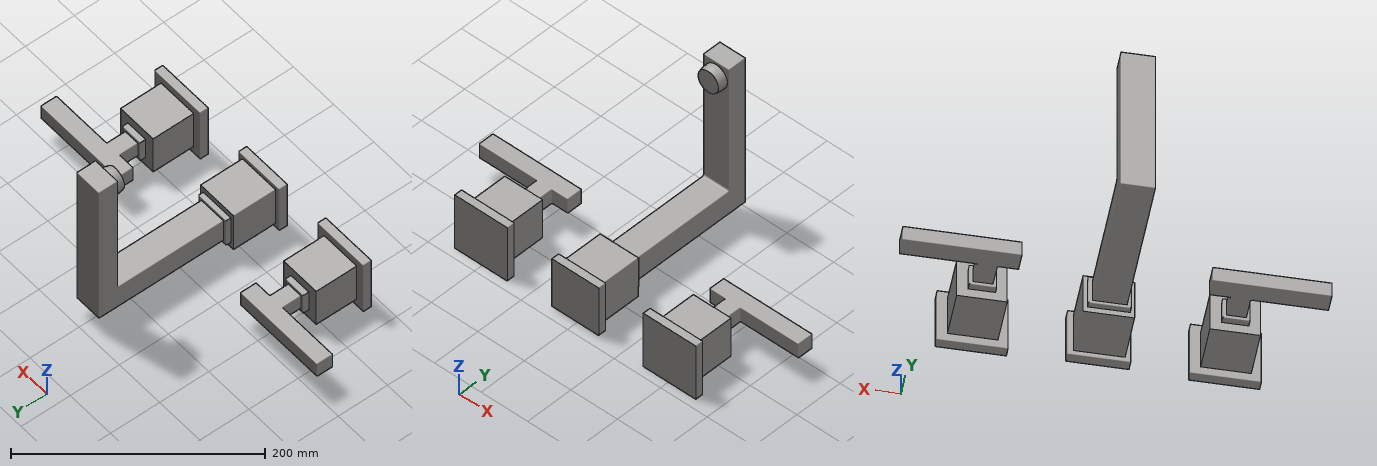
import cadquery as cq

EDGE_RADIUS = 0.7
ELBOW_RADIUS = 1.7

SPOUT_PLATE_SIDE = 50.8
SPOUT_PLATE_THICKNESS = 8.2
SPOUT_BLOCK_SIDE = 41.5
SPOUT_BLOCK_END_Y = 50.8
SPOUT_COLLAR_WIDTH = 34.5
SPOUT_COLLAR_HEIGHT = 30.2
SPOUT_COLLAR_END_Y = 55.5
ARM_WIDTH = 27.8
ARM_HEIGHT = 24.0
ARM_RISER_DEPTH = 19.2
ARM_END_Y = 182.5
ARM_TOP_Z = 142.0

AERATOR_DIAMETER = 24.0
AERATOR_TIP_DIAMETER = 22.0
AERATOR_AXIS_DROP = 15.0
AERATOR_LENGTH = 9.3
AERATOR_STRAIGHT_LENGTH = 4.0

HANDLE_OFFSET = 101.3
HANDLE_PLATE_SIDE = 57.0
HANDLE_PLATE_THICKNESS = 8.2
HANDLE_BLOCK_SIDE = 40.5
HANDLE_BLOCK_END_Y = 49.5
HANDLE_COLLAR_SIDE = 22.0
HANDLE_COLLAR_END_Y = 55.0
LEVER_WIDTH = 16.0
LEVER_HEIGHT = 15.5
LEVER_END_Y = 89.5
LEVER_TIP_X = 171.7
LEVER_HEEL_X = 76.2


def block(width, height, start_y, end_y):
    """Box centred on the Y axis, from start_y to end_y."""
    return (
        cq.Workplane("XY")
        .box(width, end_y - start_y, height, centered=(True, False, True))
        .translate((0, start_y, 0))
    )


def wall_plate(side, thickness):
    """Square plate with a sharp wall face and its other edges rounded."""
    return block(side, side, 0, thickness).edges("|Y or >Y").fillet(EDGE_RADIUS)


def collar(width, height, start_y, end_y):
    """Low rectangular step with a rounded outer rim."""
    return block(width, height, start_y, end_y).faces(">Y").edges().fillet(EDGE_RADIUS)


def make_arm():
    """L-shaped spout arm running out from the collar and then upwards."""
    bottom_z = -ARM_HEIGHT / 2
    outline = [
        (SPOUT_COLLAR_END_Y, bottom_z),
        (ARM_END_Y, bottom_z),
        (ARM_END_Y, ARM_TOP_Z),
        (ARM_END_Y - ARM_RISER_DEPTH, ARM_TOP_Z),
        (ARM_END_Y - ARM_RISER_DEPTH, -bottom_z),
        (SPOUT_COLLAR_END_Y, -bottom_z),
    ]
    arm = cq.Workplane("YZ").polyline(outline).close().extrude(ARM_WIDTH / 2, both=True)
    inner_corner = cq.selectors.NearestToPointSelector((0, ARM_END_Y - ARM_RISER_DEPTH, -bottom_z))
    arm = arm.edges(inner_corner).fillet(ELBOW_RADIUS)
    return arm.edges("not <Y").fillet(EDGE_RADIUS)


def make_aerator():
    """Round outlet, tapering towards its tip."""
    face_y = ARM_END_Y - ARM_RISER_DEPTH
    profile = [
        (0, face_y),
        (AERATOR_DIAMETER / 2, face_y),
        (AERATOR_DIAMETER / 2, face_y - AERATOR_STRAIGHT_LENGTH),
        (AERATOR_TIP_DIAMETER / 2, face_y - AERATOR_LENGTH),
        (0, face_y - AERATOR_LENGTH),
    ]
    aerator = cq.Workplane("XY").polyline(profile).close().revolve(360, (0, 0, 0), (0, 1, 0))
    return aerator.translate((0, 0, ARM_TOP_Z - AERATOR_AXIS_DROP))


def make_spout():
    spout_block = block(SPOUT_BLOCK_SIDE, SPOUT_BLOCK_SIDE, SPOUT_PLATE_THICKNESS, SPOUT_BLOCK_END_Y)
    spout_collar = collar(SPOUT_COLLAR_WIDTH, SPOUT_COLLAR_HEIGHT, SPOUT_BLOCK_END_Y, SPOUT_COLLAR_END_Y)
    return (
        wall_plate(SPOUT_PLATE_SIDE, SPOUT_PLATE_THICKNESS)
        .union(spout_block.edges("|Y").fillet(EDGE_RADIUS))
        .union(spout_collar)
        .union(make_arm())
        .union(make_aerator())
    )


def make_lever():
    """Rectangular bar across the end of a neck, for the handle on the +X side."""
    neck_x = LEVER_WIDTH / 2
    bar_y = LEVER_END_Y - LEVER_WIDTH
    outline = [
        (-neck_x, HANDLE_COLLAR_END_Y),
        (neck_x, HANDLE_COLLAR_END_Y),
        (neck_x, bar_y),
        (LEVER_TIP_X - HANDLE_OFFSET, bar_y),
        (LEVER_TIP_X - HANDLE_OFFSET, LEVER_END_Y),
        (LEVER_HEEL_X - HANDLE_OFFSET, LEVER_END_Y),
        (LEVER_HEEL_X - HANDLE_OFFSET, bar_y),
        (-neck_x, bar_y),
    ]
    lever = cq.Workplane("XY").polyline(outline).close().extrude(LEVER_HEIGHT / 2, both=True)
    return lever.edges("not <Y").fillet(EDGE_RADIUS)


def make_handle(side):
    """Handle on the +X side (side = 1) or mirrored onto the -X side (side = -1)."""
    handle_block = block(HANDLE_BLOCK_SIDE, HANDLE_BLOCK_SIDE, HANDLE_PLATE_THICKNESS, HANDLE_BLOCK_END_Y)
    handle_collar = collar(HANDLE_COLLAR_SIDE, HANDLE_COLLAR_SIDE, HANDLE_BLOCK_END_Y, HANDLE_COLLAR_END_Y)
    handle = (
        wall_plate(HANDLE_PLATE_SIDE, HANDLE_PLATE_THICKNESS)
        .union(handle_block)
        .union(handle_collar)
        .union(make_lever())
        .translate((HANDLE_OFFSET, 0, 0))
    )
    return handle if side > 0 else handle.mirror("YZ")


spout = make_spout()
handles = [make_handle(side) for side in (-1, 1)]

result = cq.Compound.makeCompound([spout.val(), *[handle.val() for handle in handles]])